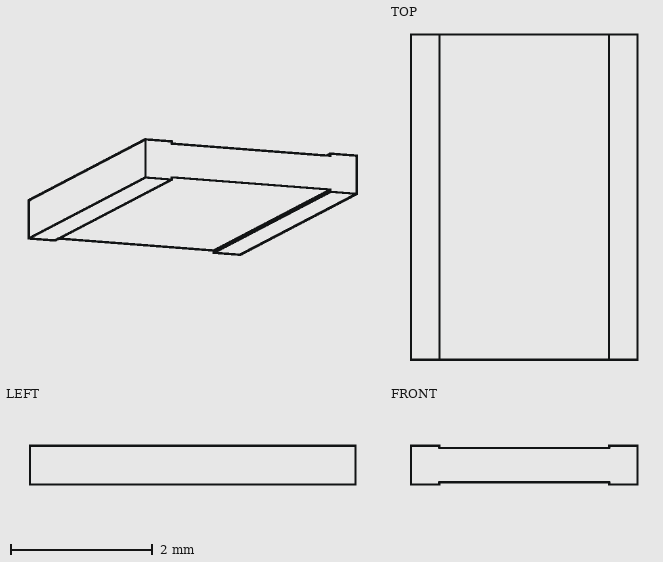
import cadquery as cq

width = 3.2
length = 4.6
height = 0.55

terminal_width = 0.4
terminal_step = 0.03

body_width = width - 2 * terminal_width
body_height = height - 2 * terminal_step

result = cq.Workplane("XY").box(body_width, length, body_height)

terminal_offset = (width - terminal_width) / 2
for side in (-1, 1):
    terminal = cq.Workplane("XY").box(terminal_width, length, height)
    result = result.union(terminal.translate((side * terminal_offset, 0, 0)))